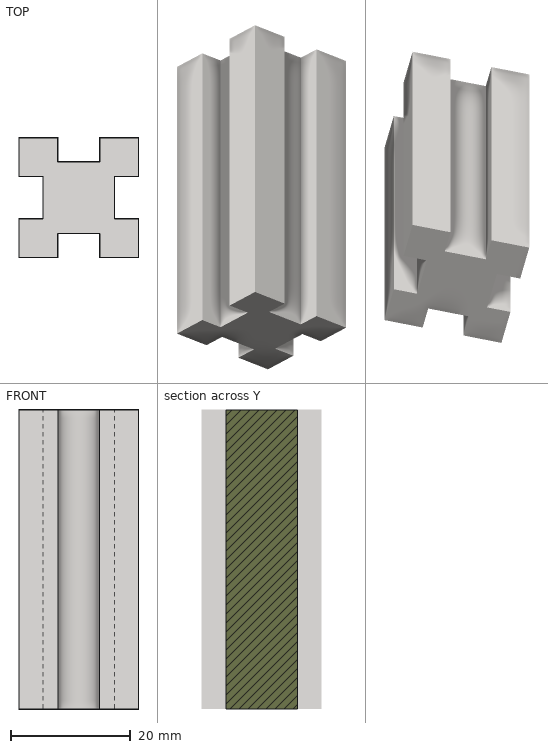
import cadquery as cq

bar_width = 20.0
bar_length = 50.0

groove_width = 7.0
groove_depth = 4.0

side_count = 4
side_angle = 360.0 / side_count


def make_bar():
    """Square bar standing on the XY plane, centred on the Z axis."""
    return cq.Workplane("XY").rect(bar_width, bar_width).extrude(bar_length)


def make_groove(angle):
    """Full-length groove cutter on the +X side, turned about Z by angle."""
    groove_centre = (bar_width - groove_depth) / 2
    return (
        cq.Workplane("XY")
        .center(groove_centre, 0)
        .rect(groove_depth, groove_width)
        .extrude(bar_length)
        .rotate((0, 0, 0), (0, 0, 1), angle)
    )


result = make_bar()
for side in range(side_count):
    result = result.cut(make_groove(side * side_angle))